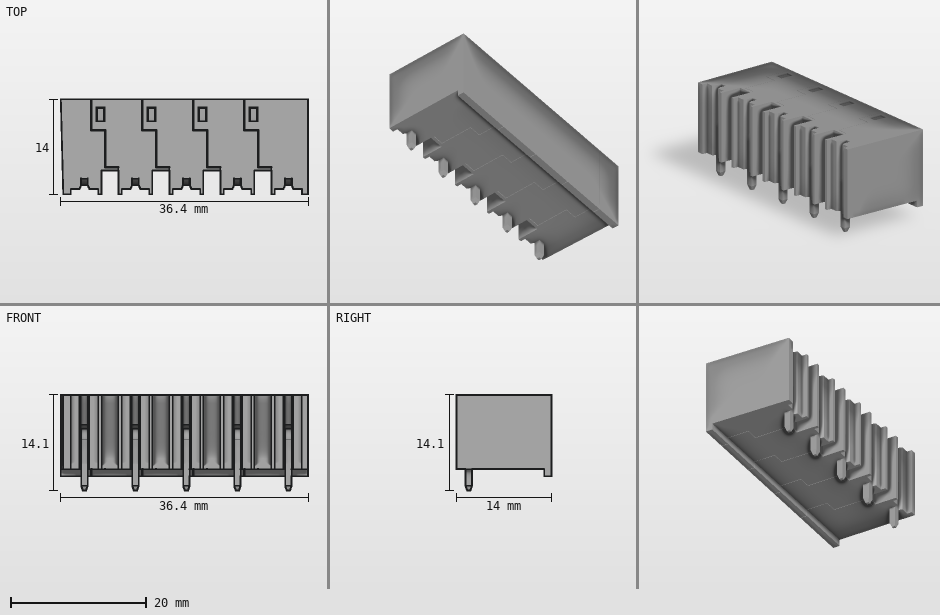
import cadquery as cq
import math


pole_count = 5
pitch = 7.5
row_length = 36.4
first_pin_x = 3.5

depth = 14.0
height = 10.92
end_wall_draft = 0.35
foot_depth = 1.1
foot_height = 1.05

joint_gap = 0.07
first_joint_x = 4.55
joint_step = 2.05
rear_step_y = 9.45
front_step_y = 4.08
slot_floor_y = 3.5
front_half_width = 2.5

recess_half_width = 2.0
recess_depth = 0.8
flare_half_width = 0.73
flare_depth = 0.47
channel_width = 1.02

window_offset_x = 0.65
window_width = 1.3
window_length = 2.07
window_back_margin = 1.15
window_depth = 0.35
pad_clearance = 0.165
pad_drop = 0.15

pin_size = 1.0
pin_front_y = 1.35
pin_bottom_z = -3.15
tip_height = 0.73
tip_size = 0.47
bend_radius = 1.53
bend_center_z = 4.45
leg_length = 1.0

pin_back_y = pin_front_y + pin_size
bend_center_y = pin_front_y + bend_radius
inner_bend_radius = bend_radius - pin_size
leg_top_z = bend_center_z + bend_radius
leg_bottom_z = bend_center_z + inner_bend_radius
leg_end_y = bend_center_y + leg_length


def pin_x(index):
    return first_pin_x + index * pitch


def joint_x(index):
    """Back-face joint line between housing `index` and the next one."""
    return first_joint_x + index * pitch


def make_pin(x):
    """Square pin: tapered tip, vertical shank, quarter bend and a leg running into the housing."""
    tip_top_z = pin_bottom_z + tip_height
    diagonal = math.sqrt(0.5)
    body = (
        cq.Workplane("YZ")
        .moveTo(pin_front_y, tip_top_z)
        .lineTo(pin_front_y, bend_center_z)
        .threePointArc(
            (bend_center_y - bend_radius * diagonal, bend_center_z + bend_radius * diagonal),
            (bend_center_y, leg_top_z),
        )
        .lineTo(leg_end_y, leg_top_z)
        .lineTo(leg_end_y, leg_bottom_z)
        .lineTo(bend_center_y, leg_bottom_z)
        .threePointArc(
            (bend_center_y - inner_bend_radius * diagonal, bend_center_z + inner_bend_radius * diagonal),
            (pin_back_y, bend_center_z),
        )
        .lineTo(pin_back_y, tip_top_z)
        .close()
        .extrude(pin_size / 2, both=True)
        .translate((x, 0, 0))
    )
    tip = (
        cq.Workplane("XY", origin=(x, pin_front_y + pin_size / 2, pin_bottom_z))
        .rect(tip_size, tip_size)
        .workplane(offset=tip_height)
        .rect(pin_size, pin_size)
        .loft()
    )
    return body.union(tip)


def left_side(index):
    """Outline points of the -X side, from front to back."""
    if index == 0:
        return [(end_wall_draft, 0), (0, depth)]
    joint = joint_x(index - 1)
    front_x = pin_x(index) - front_half_width
    return [
        (front_x, 0),
        (front_x, front_step_y),
        (joint + joint_step, front_step_y),
        (joint + joint_step, rear_step_y),
        (joint, rear_step_y),
        (joint, depth),
    ]


def right_side(index):
    """Outline points of the +X side, from back to front; its arm touches the next housing."""
    if index == pole_count - 1:
        return [(row_length, depth), (row_length, 0)]
    joint = joint_x(index) - joint_gap
    arm_end_x = pin_x(index + 1) - front_half_width
    front_x = pin_x(index) + front_half_width
    return [
        (joint, depth),
        (joint, rear_step_y - joint_gap),
        (joint + joint_step, rear_step_y - joint_gap),
        (joint + joint_step, front_step_y - joint_gap),
        (arm_end_x, front_step_y - joint_gap),
        (arm_end_x, slot_floor_y),
        (front_x, slot_floor_y),
        (front_x, 0),
    ]


def front_recess(x):
    """Outline points of the recess that opens the front face around the pin, from +X to -X."""
    flare_end_y = recess_depth + flare_depth
    right_half = [
        (recess_half_width, 0),
        (recess_half_width, recess_depth),
        (flare_half_width, recess_depth),
        (channel_width / 2, flare_end_y),
        (channel_width / 2, pin_back_y),
    ]
    left_half = [(-dx, y) for dx, y in reversed(right_half)]
    return [(x + dx, y) for dx, y in right_half + left_half]


def bend_mouth(x):
    """Opening above the pin bend, with a ceiling that slopes down at 45 degrees to the leg."""
    ceiling_run = bend_center_y - pin_back_y
    return (
        cq.Workplane("YZ")
        .polyline([
            (pin_back_y, leg_bottom_z),
            (pin_back_y, leg_top_z + ceiling_run),
            (bend_center_y, leg_top_z),
        ])
        .close()
        .extrude(channel_width / 2, both=True)
        .translate((x, 0, 0))
    )


def tab_window(joint):
    """Rectangular trench left around a pad, flush with the pad on its front side."""
    window_back_y = depth - window_back_margin
    window_front_y = window_back_y - window_length
    floor_z = height - window_depth
    window = cq.Workplane("XY").box(window_width, window_length, window_depth, centered=False)
    pad = (
        cq.Workplane("XY")
        .box(
            window_width - 2 * pad_clearance,
            window_length - pad_clearance,
            window_depth - pad_drop,
            centered=False,
        )
        .translate((pad_clearance, 0, 0))
    )
    return window.cut(pad).translate((joint + window_offset_x, window_front_y, floor_z))


def make_housing(index, pin):
    """One housing, shaped to its place in the row and cut to receive its pin."""
    x = pin_x(index)
    outline = left_side(index) + right_side(index) + front_recess(x)
    housing = (
        cq.Workplane("XY", origin=(0, 0, -foot_height))
        .polyline(outline)
        .close()
        .extrude(height + foot_height)
    )
    undercut = (
        cq.Workplane("XY", origin=(0, 0, -foot_height))
        .box(row_length, depth - foot_depth, foot_height, centered=False)
    )
    housing = housing.cut(undercut).cut(bend_mouth(x)).cut(pin)
    if index > 0:
        housing = housing.cut(tab_window(joint_x(index - 1)))
    return housing


pins = [make_pin(pin_x(index)) for index in range(pole_count)]
housings = [make_housing(index, pin) for index, pin in enumerate(pins)]

result = cq.Compound.makeCompound([body.solids().val() for body in housings + pins])